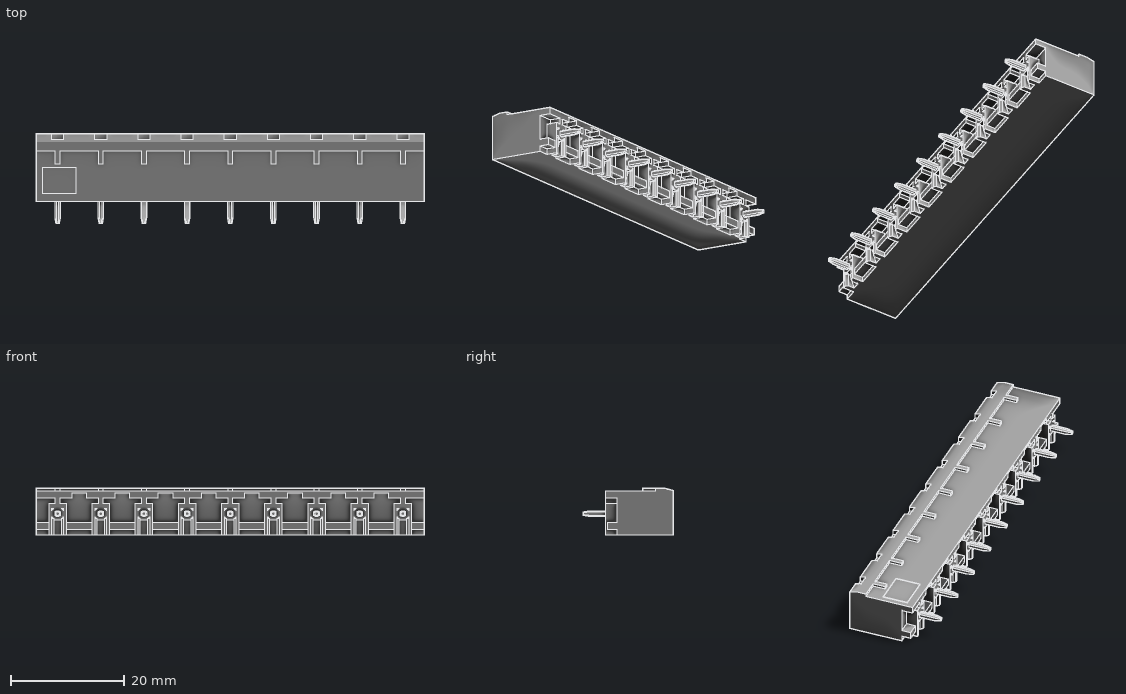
import cadquery as cq

pin_count = 9
pitch = 7.62
body_depth = 12.0
plate_top = 7.8
overall_height = 8.3
body_length = pin_count * pitch
pin_positions = [(i + 0.5) * pitch for i in range(pin_count)]

rib_front = 8.9
rib_slope_start = 10.5
rib_back_height = 7.9

key_width = 0.85
key_front = 6.6

notch_width = 2.15
notch_length = 1.05
notch_depth = 1.0
notch_floor_radius = 3.8

recess_depth = 2.05
recess_top = 6.6
relief_width = 2.6
relief_top = 7.45

bar_bottom = 1.0
bar_top = 2.25
bar_front = 0.35

block_width = 3.1
block_top = 5.55
stem_width = key_width

slot_width = 2.1
slot_top = 2.9
channel_width = 1.3
channel_top = 2.7
channel_top_depth = 0.8
channel_bottom_depth = 1.6
flare_depth = (slot_width - channel_width) / 2

corner_height = 4.7
corner_leg = 0.35
corner_pocket_depth = 0.3

pin_width = 1.0
pin_thickness = 1.0
pin_bevel_across = 0.3
pin_bevel_down = 0.2
pin_tip_scale = 0.6
pin_height = 3.8
pin_reach = 3.9
pin_taper_length = 1.1
pin_embedded = 2.0

label_left = 1.1
label_front = 1.45
label_length = 6.0
label_width = 4.6
label_depth = 0.1


def box(x_range, y_range, z_range):
    """Box that spans the given (start, end) pairs."""
    sizes = [end - start for start, end in (x_range, y_range, z_range)]
    corner = (x_range[0], y_range[0], z_range[0])
    return cq.Workplane("XY").box(*sizes, centered=False).translate(corner)


def centred(x, width):
    """Start and end of a width centred on x."""
    return (x - width / 2, x + width / 2)


def make_body():
    """Full-length profile with the top rib, the pin-side recess and its bar."""
    profile = [
        (0, plate_top),
        (rib_front, plate_top),
        (rib_front, overall_height),
        (rib_slope_start, overall_height),
        (body_depth, rib_back_height),
        (body_depth, 0),
        (recess_depth, 0),
        (recess_depth, bar_bottom),
        (bar_front, bar_bottom),
        (bar_front, bar_top),
        (recess_depth, bar_top),
        (recess_depth, recess_top),
        (0, recess_top),
    ]
    return cq.Workplane("YZ").polyline(profile).close().extrude(body_length)


def plate_relief(x):
    """Cut in the underside of the top plate, midway between two pins."""
    return box(centred(x, relief_width), (0, recess_depth), (recess_top, relief_top))


def key(x):
    return box(centred(x, key_width), (key_front, rib_front), (plate_top, overall_height))


def notch(x):
    """Notch open to the back and the top, with a scooped floor."""
    start = body_depth - notch_length
    floor_start = overall_height - notch_depth
    slope_run = body_depth - rib_slope_start
    slope_drop = overall_height - rib_back_height
    opening = box(
        centred(x, notch_width),
        (start, body_depth),
        (floor_start - notch_depth, overall_height),
    )
    scoop_plane = cq.Plane(
        origin=(x, start, floor_start + notch_floor_radius),
        xDir=(1, 0, 0),
        normal=(0, slope_run, -slope_drop),
    )
    scoop = (
        cq.Workplane(scoop_plane)
        .circle(notch_floor_radius)
        .extrude(2 * notch_length, both=True)
    )
    return opening.intersect(scoop)


def slot(x):
    """Flared slot and sloping channel, both open at the underside."""
    half_slot = slot_width / 2
    half_channel = channel_width / 2
    flare = (
        cq.Workplane("XY", origin=(x, 0, 0))
        .polyline(
            [(-half_slot, 0), (half_slot, 0), (half_channel, flare_depth), (-half_channel, flare_depth)]
        )
        .close()
        .extrude(slot_top)
    )
    channel = (
        cq.Workplane("YZ", origin=(x - half_channel, 0, 0))
        .polyline(
            [(0, 0), (channel_bottom_depth, 0), (channel_top_depth, channel_top), (0, channel_top)]
        )
        .close()
        .extrude(channel_width)
    )
    side_flares = flare.cut(box(centred(x, channel_width), (0, flare_depth), (0, slot_top)))
    return side_flares.union(channel)


def corner_pocket(x, side, height, direction):
    """Triangular pocket whose right angle points away from the pin."""
    outer = x + side * slot_width / 2
    return (
        cq.Workplane("XZ")
        .polyline(
            [
                (outer, height),
                (outer - side * corner_leg, height),
                (outer, height - direction * corner_leg),
            ]
        )
        .close()
        .extrude(-corner_pocket_depth)
    )


def pin_holder(x):
    """Block and stem, less the slot and the corner pockets."""
    block = box(centred(x, block_width), (0, recess_depth), (0, block_top))
    stem = box(centred(x, stem_width), (0, recess_depth), (block_top, recess_top))
    holder = block.union(stem).cut(slot(x))
    for side in (-1, 1):
        holder = holder.cut(corner_pocket(x, side, corner_height, 1))
        holder = holder.cut(corner_pocket(x, side, slot_top, -1))
    return holder


def pin_section(scale):
    """Bevelled pin section, counter-clockwise, shrunk about the pin's axis by the given scale."""
    half_width = scale * pin_width / 2
    half_thickness = scale * pin_thickness / 2
    half_flat_width = half_width - scale * pin_bevel_across
    half_flat_thickness = half_thickness - scale * pin_bevel_down
    return [
        (half_width, -half_flat_thickness),
        (half_width, half_flat_thickness),
        (half_flat_width, half_thickness),
        (-half_flat_width, half_thickness),
        (-half_width, half_flat_thickness),
        (-half_width, -half_flat_thickness),
        (-half_flat_width, -half_thickness),
        (half_flat_width, -half_thickness),
    ]


def pin(x):
    shank_length = pin_embedded + pin_reach - pin_taper_length
    base = cq.Workplane("XZ", origin=(x, pin_embedded, pin_height))
    shank = base.polyline(pin_section(1)).close().extrude(shank_length)
    taper = (
        base.workplane(offset=shank_length)
        .polyline(pin_section(1))
        .close()
        .workplane(offset=pin_taper_length)
        .polyline(pin_section(pin_tip_scale))
        .close()
        .loft(ruled=True)
    )
    return shank.union(taper)


def label_panel():
    return box(
        (label_left, label_left + label_length),
        (label_front, label_front + label_width),
        (plate_top - label_depth, plate_top),
    )


def make_connector():
    connector = make_body().cut(label_panel())
    for x in pin_positions[:-1]:
        connector = connector.cut(plate_relief(x + pitch / 2))
    for x in pin_positions:
        bar_gap = box(centred(x, block_width), (0, recess_depth), (bar_bottom, bar_top))
        connector = connector.cut(bar_gap).union(pin_holder(x))
        connector = connector.union(key(x)).cut(notch(x)).union(pin(x))
    return connector


result = make_connector()